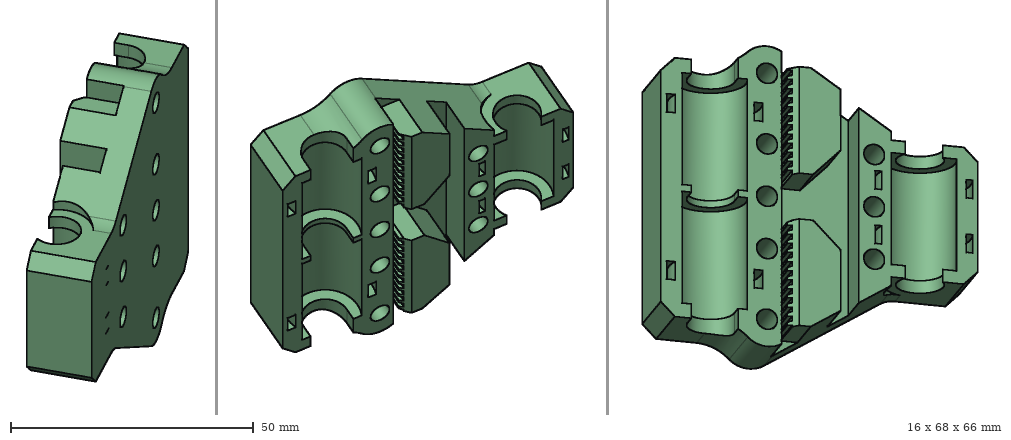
import cadquery as cq
import math


length = 68.0
half_length = length / 2
thickness = 14.0
corner_chamfer = 3.0
wide_half_height = 28.4
narrow_half_height = 15.0

screw_diameter = 4.4
wide_screw_y = 11.2
narrow_screw_y = -11.75
screw_pitch = 11.5
outer_screw_z = 27.0

shoulder_radius = 6.0
wide_fillet = 10.0
narrow_fillet = 6.0
narrow_fillet_y = -20.1

rod_y = 22.45
rod_depth = 3.0
rod_diameter = 10.0
bearing_diameter = 15.0
bearing_mouth = 14.0
bearing_length = 24.55
bearing_gap = 1.5

tie_width = 4.0
wide_tie_z = 18.35
wide_tie_radii = (9.0, 10.75)
narrow_tie_z = 6.0
narrow_tie_radii = (9.5, 10.9)

pocket_y_min = -8.5
pocket_y_max = 8.1
pocket_depth = 8.0
clamp_y_min = -4.0
clamp_y_max = 6.9
clamp_z_min = 5.0
clamp_corner = 5.9
clamp_protrusion = 2.0

ten_pitches = 20.0
belt_pitch = ten_pitches / 10
top_groove_z = 27.4
groove_count = 29
groove_depth = 0.8
groove_mouth = 1.35
groove_floor = 0.95

ENDS = (1, -1)


def box(x_range, y_range, z_range):
    """Box spanning the given (low, high) ranges."""
    spans = (x_range, y_range, z_range)
    sizes = [high - low for low, high in spans]
    corner = cq.Vector(*[low for low, high in spans])
    return cq.Workplane(obj=cq.Solid.makeBox(*sizes, corner))


def rod_cylinder(y, diameter, z_low, z_high):
    """Cylinder along Z on a rod axis."""
    base = cq.Workplane("XY").workplane(offset=z_low).center(rod_depth, y)
    return base.circle(diameter / 2).extrude(z_high - z_low)


def bearing_seat(y, z_low, z_high):
    """Bearing bore with a straight mouth to the front face."""
    mouth = box((0, rod_depth), (y - bearing_mouth / 2, y + bearing_mouth / 2), (z_low, z_high))
    return rod_cylinder(y, bearing_diameter, z_low, z_high).union(mouth)


def polar(center, radius, angle):
    """Point (y, z) at a distance and direction from a centre."""
    return (center[0] + radius * math.cos(angle), center[1] + radius * math.sin(angle))


def upper_outline(x_low, x_high):
    """Half of the plate above Z = 0, between two X positions."""
    shoulder = (wide_screw_y, outer_screw_z)
    narrow_center = (narrow_fillet_y, narrow_half_height + narrow_fillet)

    wide_rise = wide_half_height + wide_fillet - outer_screw_z
    wide_angle = math.asin(wide_rise / (wide_fillet + shoulder_radius))
    wide_center = polar(shoulder, wide_fillet + shoulder_radius, wide_angle)
    wide_touch = polar(shoulder, shoulder_radius, wide_angle)
    wide_middle = polar(wide_center, wide_fillet, (wide_angle - math.pi - math.pi / 2) / 2)

    run = shoulder[0] - narrow_center[0]
    rise = shoulder[1] - narrow_center[1]
    slope = math.atan2(rise, run) + math.asin((shoulder_radius + narrow_fillet) / math.hypot(run, rise))
    slope_normal = slope + math.pi / 2
    slope_top = polar(shoulder, shoulder_radius, slope_normal)
    slope_bottom = polar(narrow_center, narrow_fillet, slope_normal - math.pi)
    narrow_middle = polar(narrow_center, narrow_fillet, (slope - math.pi) / 2)

    outline = (
        cq.Workplane("YZ").workplane(offset=x_low)
        .moveTo(half_length, 0)
        .lineTo(half_length, wide_half_height - corner_chamfer)
        .lineTo(half_length - corner_chamfer, wide_half_height)
        .lineTo(wide_center[0], wide_half_height)
        .threePointArc(wide_middle, wide_touch)
        .threePointArc((wide_screw_y, outer_screw_z + shoulder_radius), slope_top)
        .lineTo(*slope_bottom)
        .threePointArc(narrow_middle, (narrow_fillet_y, narrow_half_height))
        .lineTo(corner_chamfer - half_length, narrow_half_height)
        .lineTo(-half_length, narrow_half_height - corner_chamfer)
        .lineTo(-half_length, 0)
        .close()
    )
    return outline.extrude(x_high - x_low)


def make_plate():
    upper = upper_outline(0, thickness)
    return upper.union(upper.mirror("XY"))


def cut_bearings(body):
    """Rod passages, bearing seats and the clearance above and below the narrow end."""
    reach = outer_screw_z + shoulder_radius
    slot = box((0, rod_depth), (rod_y - rod_diameter / 2, rod_y + rod_diameter / 2), (-reach, reach))
    body = body.cut(slot)
    for y in (rod_y, -rod_y):
        body = body.cut(rod_cylinder(y, rod_diameter, -reach, reach))
    wide_seat = bearing_seat(rod_y, bearing_gap / 2, bearing_gap / 2 + bearing_length)
    clearance = bearing_seat(-rod_y, narrow_half_height, reach)
    for cutter in (wide_seat, clearance):
        body = body.cut(cutter).cut(cutter.mirror("XY"))
    return body.cut(bearing_seat(-rod_y, -bearing_length / 2, bearing_length / 2))


def cut_tie_channels(body):
    channels = ((rod_y, wide_tie_z, wide_tie_radii), (-rod_y, narrow_tie_z, narrow_tie_radii))
    for y, z, (inner, outer) in channels:
        low, high = z - tie_width / 2, z + tie_width / 2
        ring = rod_cylinder(y, 2 * outer, low, high).cut(rod_cylinder(y, 2 * inner, low, high))
        body = body.cut(ring).cut(ring.mirror("XY"))
    return body


def cut_screw_holes(body):
    inner_rows = (-screw_pitch, 0, screw_pitch)
    centers = [(y, z) for y in (wide_screw_y, narrow_screw_y) for z in inner_rows]
    centers += [(wide_screw_y, side * outer_screw_z) for side in ENDS]
    holes = cq.Workplane("YZ").pushPoints(centers).circle(screw_diameter / 2).extrude(thickness)
    return body.cut(holes)


def cut_belt_pocket(body):
    return body.cut(box((0, pocket_depth), (pocket_y_min, pocket_y_max), (-half_length, half_length)))


def belt_grooves():
    """Grooves across the full belt run, cut into the toothed side of the clamps."""
    grooves = cq.Workplane("YZ").workplane(offset=-clamp_protrusion)
    floor_y = clamp_y_max - groove_depth
    for index in range(groove_count):
        z = top_groove_z - index * belt_pitch
        grooves = grooves.polyline([
            (clamp_y_max, z + groove_mouth / 2),
            (floor_y, z + groove_floor / 2),
            (floor_y, z - groove_floor / 2),
            (clamp_y_max, z - groove_mouth / 2),
        ]).close()
    return grooves.extrude(clamp_protrusion + pocket_depth)


def make_clamps():
    """Two blocks that rise from the pocket floor, trimmed by the sloped edge of the plate."""
    corner_start = clamp_z_min + clamp_corner
    block = (
        cq.Workplane("YZ").workplane(offset=-clamp_protrusion)
        .moveTo(clamp_y_max, clamp_z_min)
        .lineTo(clamp_y_max, wide_half_height)
        .lineTo(clamp_y_min, wide_half_height)
        .lineTo(clamp_y_min, corner_start)
        .lineTo(clamp_y_min + clamp_corner, clamp_z_min)
        .close()
        .extrude(clamp_protrusion + pocket_depth)
    )
    block = block.edges("<X and >Y").chamfer(clamp_protrusion)
    block = block.intersect(upper_outline(-clamp_protrusion, thickness))
    return block.union(block.mirror("XY")).cut(belt_grooves())


plate = make_plate()
plate = cut_bearings(plate)
plate = cut_tie_channels(plate)
plate = cut_screw_holes(plate)
plate = cut_belt_pocket(plate)
result = plate.union(make_clamps())